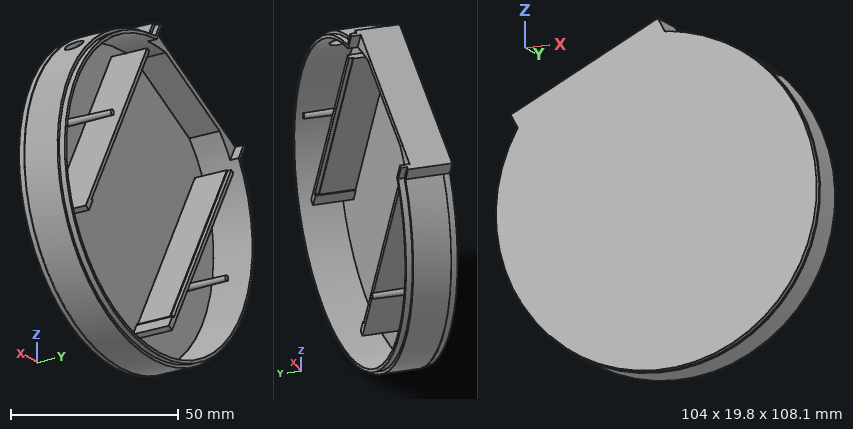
import cadquery as cq
import math

case_radius = 52.0
skin = 1.0
rim_radius = case_radius - skin
side_wall = 2 * skin
cavity_radius = case_radius - side_wall

plate_radius = 51.8
plate_shift = 0.2

plate_thickness = 2.0
ledge_level = 13.0
ring_level = 14.0
rim_level = 16.0
total_depth = 19.8

tab_tilt = 28.4
tab_half_width = 27.0
tab_face = 49.2
opening_half_width = tab_half_width - side_wall

hole_diameter = 5.9
hole_level = (plate_thickness + ring_level) / 2
hole_offset = 18.5

rail_outer = 26.4
rail_width = 1.3
rail_foot = 0.3
rail_front = 38.4
rail_back = -31.1
rail_post_length = 4.4
rail_step_level = 13.6
rail_level = 14.9

pin_root_diameter = 2.3
pin_tip_diameter = 1.7
pin_offset = 35.0
pin_setback = 0.4

tilt = math.radians(tab_tilt)
along_tab = cq.Vector(math.cos(tilt), 0, math.sin(tilt))
towards_tab = cq.Vector(-math.sin(tilt), 0, math.cos(tilt))


def tab_plane(level):
    """Plane across the disc axis: local X is along_tab, local Y is towards_tab, normal is -Y."""
    return cq.Plane(origin=(0, level, 0), xDir=along_tab, normal=(0, -1, 0))


def disc(radius, bottom, top, shift=0.0):
    return cq.Workplane(tab_plane(top)).center(0, shift).circle(radius).extrude(top - bottom)


def block(x_min, x_max, y_min, y_max, bottom, top):
    return (
        cq.Workplane(tab_plane(top))
        .center((x_min + x_max) / 2, (y_min + y_max) / 2)
        .rect(x_max - x_min, y_max - y_min)
        .extrude(top - bottom)
    )


def tab_layer(half_width, bottom, top):
    return block(-half_width, half_width, 0, tab_face, bottom, top)


def make_shell():
    """Front plate, round wall, back rim and tab, hollowed from the back."""
    plate = disc(plate_radius, 0, plate_thickness, plate_shift)
    ring = disc(case_radius, plate_thickness, ring_level)
    rim = disc(rim_radius, ring_level, rim_level)
    tab = tab_layer(tab_half_width, 0, ring_level)
    tab_rim = tab_layer(tab_half_width - skin, ring_level, rim_level)
    tab_cap = block(-tab_half_width, tab_half_width, tab_face, case_radius, 0, rim_level)
    solid = plate.union(ring).union(rim).cut(tab_cap).union(tab).union(tab_rim)

    wall_back = tab_face - side_wall
    tab_wall = block(-tab_half_width, tab_half_width, wall_back, case_radius, plate_thickness, rim_level)
    cavity = disc(cavity_radius, plate_thickness, rim_level).cut(tab_wall)
    tab_opening = tab_layer(opening_half_width, ledge_level, rim_level)
    return solid.cut(cavity).cut(tab_opening)


def make_side_hole():
    """Cylinder along the tab direction, from inside the cavity out through the wall on the +X side."""
    start = towards_tab * hole_offset + cq.Vector(0, hole_level, 0)
    plane = cq.Plane(origin=start, xDir=(0, 1, 0), normal=along_tab)
    return cq.Workplane(plane).circle(hole_diameter / 2).extrude(case_radius)


def make_rail(side):
    """Rail on one side of the centre line: side is -1 or +1."""

    def tier(width, back, front, bottom, top):
        edges = sorted((side * rail_outer, side * (rail_outer - width)))
        return block(*edges, back, front, bottom, top)

    foot_width = rail_width + rail_foot
    post_width = foot_width + rail_foot
    lower = tier(foot_width, rail_back, rail_front, plate_thickness, rail_step_level)
    upper = tier(rail_width, rail_back, rail_front, plate_thickness, rail_level)
    post = tier(post_width, rail_back, rail_back + rail_post_length, plate_thickness, rail_level)
    return lower.union(upper).union(post)


def make_housing():
    body = make_shell().cut(make_side_hole())
    for side in (-1, 1):
        body = body.union(make_rail(side))
    return body


def make_pin(side):
    """Slightly tapered pin standing on the cavity floor: side is -1 or +1."""
    return (
        cq.Workplane(tab_plane(total_depth))
        .center(side * pin_offset, -pin_setback)
        .circle(pin_tip_diameter / 2)
        .workplane(offset=total_depth - plate_thickness)
        .circle(pin_root_diameter / 2)
        .loft()
    )


housing = make_housing()
pins = [make_pin(side) for side in (-1, 1)]

result = cq.Compound.makeCompound([housing.val(), *[pin.val() for pin in pins]])